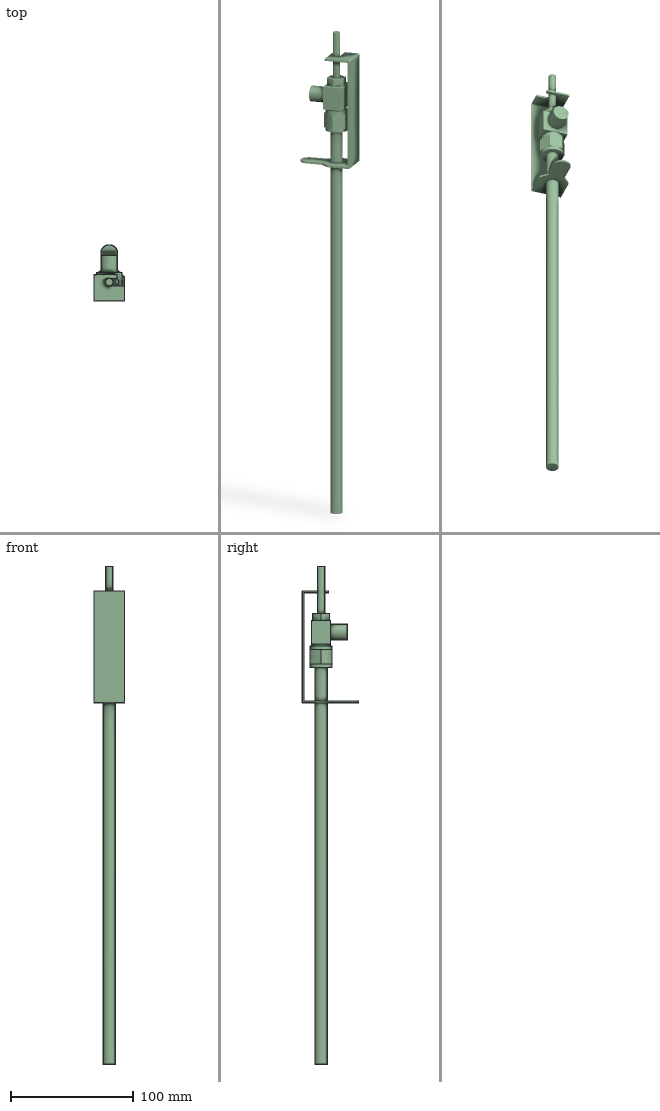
import cadquery as cq
import math

total_height = 408.0
tube_diameter = 10.0
rod_diameter = 6.0

clamp_nut_bottom = 325.0
clamp_nut_top = 342.7
block_bottom = 344.5
block_top = 363.5
top_nut_top = 369.5

clamp_nut_flats = 18.5
clamp_nut_rim = 3.0
collar_diameter = 15.5
block_width = 21.0
block_depth = 16.0
top_nut_flats = 14.0
port_diameter = 13.0
port_end = 21.5
port_height = 354.0

sheet = 1.5
bend_radius = 1.0
bracket_width = 25.5
bracket_bottom = 296.2
bracket_top = 388.0
bracket_back = -15.5
top_flange_front = 6.0
tongue_front = 30.5
tongue_width = 14.0
shoulder_front = 4.0
notch_side = 6.5
rod_slot_width = 6.0


def cylinder(diameter, bottom, top):
    return cq.Workplane("XY").workplane(offset=bottom).circle(diameter / 2).extrude(top - bottom)


def hexagon(flats, bottom, top):
    """Hexagonal prism with corners on the X axis and flats facing +Y and -Y."""
    corners = flats / math.cos(math.pi / 6)
    return cq.Workplane("XY").workplane(offset=bottom).polygon(6, corners).extrude(top - bottom)


def make_clamp_nut():
    """Hexagon between two round rims as wide as its flats."""
    rims = cylinder(clamp_nut_flats, clamp_nut_bottom, clamp_nut_top)
    return rims.union(hexagon(clamp_nut_flats, clamp_nut_bottom + clamp_nut_rim, clamp_nut_top - clamp_nut_rim))


def make_block():
    """Rectangular block with the round port on its +Y side."""
    height = block_top - block_bottom
    block = cq.Workplane("XY").workplane(offset=block_bottom).rect(block_width, block_depth).extrude(height)
    port = (
        cq.Workplane("XZ")
        .center(0, port_height)
        .circle(port_diameter / 2)
        .extrude(-port_end)
    )
    return block.union(port)


def make_probe():
    tube = cylinder(tube_diameter, 0, clamp_nut_bottom)
    collar = cylinder(collar_diameter, clamp_nut_top, block_bottom)
    top_nut = hexagon(top_nut_flats, block_top, top_nut_top)
    rod = cylinder(rod_diameter, top_nut_top, total_height)
    return tube.union(make_clamp_nut()).union(collar).union(make_block()).union(top_nut).union(rod)


def make_back_plate():
    plate = cq.Workplane("XY").workplane(offset=bracket_bottom)
    plate = plate.center(0, bracket_back + sheet / 2).rect(bracket_width, sheet)
    return plate.extrude(bracket_top - bracket_bottom)


def make_top_flange():
    """Flange with its +X front corner cut away and a round-ended slot leading in to the rod."""
    side = bracket_width / 2
    slot_radius = rod_slot_width / 2
    return (
        cq.Workplane("XY")
        .workplane(offset=bracket_top - sheet)
        .moveTo(-side, bracket_back)
        .lineTo(side, bracket_back)
        .lineTo(side, -slot_radius)
        .lineTo(0, -slot_radius)
        .threePointArc((-slot_radius, 0), (0, slot_radius))
        .lineTo(notch_side, slot_radius)
        .lineTo(notch_side, top_flange_front)
        .lineTo(-side, top_flange_front)
        .close()
        .extrude(sheet)
    )


def make_bottom_flange():
    """Flange that tapers at 45 degrees to a round-ended tongue, with a hole for the tube."""
    side = bracket_width / 2
    tongue_side = tongue_width / 2
    tongue_root = shoulder_front + side - tongue_side
    round_start = tongue_front - tongue_side
    flange = (
        cq.Workplane("XY")
        .workplane(offset=bracket_bottom)
        .moveTo(-side, bracket_back)
        .lineTo(side, bracket_back)
        .lineTo(side, shoulder_front)
        .lineTo(tongue_side, tongue_root)
        .lineTo(tongue_side, round_start)
        .threePointArc((0, tongue_front), (-tongue_side, round_start))
        .lineTo(-tongue_side, tongue_root)
        .lineTo(-side, shoulder_front)
        .close()
        .extrude(sheet)
    )
    return flange.cut(cylinder(tube_diameter, bracket_bottom, bracket_bottom + sheet))


def make_bracket():
    bracket = make_back_plate().union(make_top_flange()).union(make_bottom_flange())
    outer_bends = bracket.faces("<Y").edges("|X")
    return outer_bends.fillet(bend_radius)


probe = make_probe()
bracket = make_bracket()
result = cq.Compound.makeCompound([probe.val(), bracket.val()])